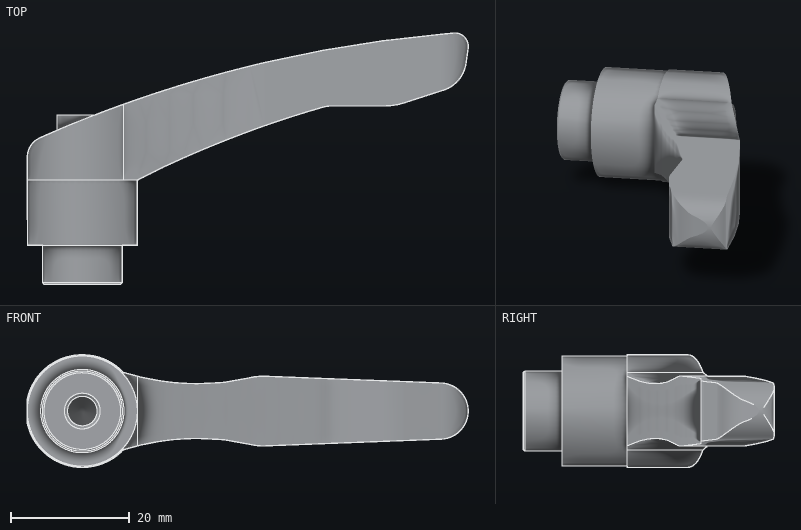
import cadquery as cq
import math

bush_diameter = 13.5
bush_chamfer = 0.3
collar_diameter = 18.5
collar_bore_diameter = 14.0
collar_bore_depth = 0.75
hub_diameter = 19.0
collar_start = 6.5
hub_start = 17.5

core_diameter = 5.0
core_mouth_diameter = 6.0
core_depth = 13.35
drill_point_angle = 118.0

screw_diameter = 8.6
screw_top = 28.5
clearance_diameter = 9.65

overall_length = 74.15
overall_height = 42.25
back_x = -collar_diameter / 2
tip_x = back_x + overall_length
nose_corner_radius = 4.6
nose_x = tip_x - nose_corner_radius
nose_half_width = 4.75
grip_half_width = 5.9
grip_start_x = 29.3
grip_blend_radius = 8.9
neck_x = 6.9
finger_start_x = 41.15
finger_end_x = 52.5
finger_y = 29.95
finger_start_radius = 5.9
finger_end_radius = 10.4

waist_inner = (10.75, 5.5)
waist_mid = (18.7, 4.6)
waist_outer = (23.7, 4.8)

underside_start = (13.7, 19.7)
underside_mid = (25.95, 24.9)
nose_bottom = (nose_x, 32.5)
nose_lower_mid = (63.25, 34.3)
nose_lower_end = (64.5, 37.1)
nose_tip = (tip_x, 39.7)
nose_upper_mid = (64.35, 41.45)
nose_crown = (62.6, overall_height)
nose_top = (nose_x, 42.05)
top_mid = (28.2, 36.7)
top_end = (-7.35, 24.55)
back_round_mid = (-8.75, 23.2)
back_round_end = (back_x, 21.3)


def cylinder(diameter, start, end):
    """Cylinder on the hub axis between two heights along Y."""
    return (
        cq.Workplane("XZ", origin=(0, start, 0))
        .circle(diameter / 2)
        .extrude(start - end)
    )


def lever_side():
    """Curved lever outline in the XY plane, thicker than the part along Z."""
    side = (
        cq.Workplane("XY")
        .moveTo(back_x, hub_start)
        .lineTo(collar_diameter / 2, hub_start)
        .lineTo(*underside_start)
        .threePointArc(underside_mid, (finger_start_x, finger_y))
        .lineTo(finger_end_x, finger_y)
        .lineTo(*nose_bottom)
        .threePointArc(nose_lower_mid, nose_lower_end)
        .lineTo(*nose_tip)
        .threePointArc(nose_upper_mid, nose_crown)
        .lineTo(*nose_top)
        .threePointArc(top_mid, top_end)
        .threePointArc(back_round_mid, back_round_end)
        .close()
        .extrude(hub_diameter, both=True)
    )
    for corner_x, radius in ((finger_start_x, finger_start_radius), (finger_end_x, finger_end_radius)):
        corner = cq.selectors.NearestToPointSelector((corner_x, finger_y, 0))
        side = side.edges("|Z").edges(corner).fillet(radius)
    return side


def lever_plan():
    """Waisted lever outline in the XZ plane, joined to the round hub."""
    neck_half_width = math.sqrt((hub_diameter / 2) ** 2 - neck_x**2)
    grip_start = (grip_start_x, grip_half_width)
    arm = (
        cq.Workplane("XZ")
        .moveTo(0, neck_half_width)
        .lineTo(neck_x, neck_half_width)
        .spline([waist_inner, waist_mid, waist_outer, grip_start], includeCurrent=True)
        .lineTo(nose_x, nose_half_width)
        .tangentArcPoint((tip_x, nose_half_width - nose_corner_radius), relative=False)
        .lineTo(tip_x, 0)
        .lineTo(0, 0)
        .close()
        .extrude(-overall_height)
    )
    corner = cq.selectors.NearestToPointSelector((grip_start_x, overall_height / 2, grip_half_width))
    arm = arm.edges("|Y").edges(corner).fillet(grip_blend_radius)
    return arm.union(arm.mirror("XY")).union(cylinder(hub_diameter, 0, overall_height))


def threaded_core():
    """Countersunk blind hole with a conical end, revolved about the hub axis."""
    radius = core_diameter / 2
    mouth_radius = core_mouth_diameter / 2
    point_depth = radius / math.tan(math.radians(drill_point_angle / 2))
    return (
        cq.Workplane("XY")
        .moveTo(0, 0)
        .lineTo(mouth_radius, 0)
        .lineTo(radius, mouth_radius - radius)
        .lineTo(radius, core_depth)
        .lineTo(0, core_depth + point_depth)
        .close()
        .revolve(360, (0, 0), (0, 1))
    )


lever = lever_side().intersect(lever_plan())
lever = lever.cut(cylinder(clearance_diameter, hub_start, overall_height))

collar = cylinder(collar_diameter, collar_start, hub_start)
collar = collar.cut(cylinder(collar_bore_diameter, collar_start, collar_start + collar_bore_depth))

bush = cylinder(bush_diameter, 0, hub_start).faces("<Y").edges().chamfer(bush_chamfer)
screw = cylinder(screw_diameter, hub_start, screw_top)

result = lever.union(collar).union(bush).union(screw).cut(threaded_core())